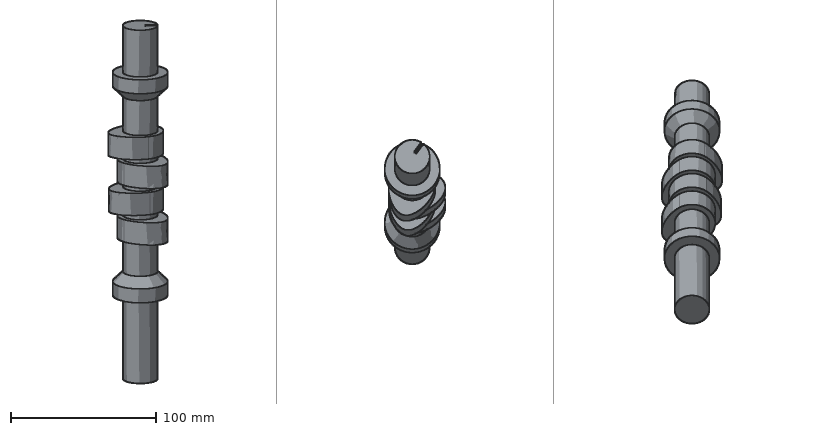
import cadquery as cq

shaft_length = 253.5
shaft_radius = 12.0

collar_radius = 19.0
collar_band = 10.0
collar_cone = 7.0
lower_collar_base = 60.0
collar_span = 160.0
upper_collar_top = lower_collar_base + collar_span

heel_radius = 16.0
nose_reach = 23.0
flank_tangent = 31.0
lobe_thickness = 16.0
paired_nose_angle = 25.0
lobes = [
    (101.5, paired_nose_angle),
    (122.0, -85.0),
    (142.0, paired_nose_angle),
    (162.0, -90.0),
]

slot_width = 2.0
slot_inner_radius = 3.5
slot_depth = 5.0
slot_angle = 70.0


def make_shaft():
    return cq.Workplane("XY").circle(shaft_radius).extrude(shaft_length)


def make_collar(outer_z, toward_lobes):
    """Collar with its flat face at outer_z; toward_lobes is +1 (up) or -1 (down)."""
    band_end = outer_z + toward_lobes * collar_band
    cone_end = band_end + toward_lobes * collar_cone
    return (
        cq.Workplane("XZ")
        .moveTo(0, outer_z)
        .lineTo(collar_radius, outer_z)
        .lineTo(collar_radius, band_end)
        .lineTo(shaft_radius, cone_end)
        .lineTo(0, cone_end)
        .close()
        .revolve(360, (0, 0, 0), (0, 1, 0))
    )


def make_lobe(base_z, nose_angle):
    """Cam lobe built with its nose along +X, then turned to nose_angle."""
    return (
        cq.Workplane("XY")
        .workplane(offset=base_z)
        .moveTo(0, heel_radius)
        .threePointArc((-heel_radius, 0), (0, -heel_radius))
        .spline(
            [(nose_reach, 0), (0, heel_radius)],
            tangents=[(flank_tangent, 0), (-flank_tangent, 0)],
            parameters=[0, 1, 2],
            scale=False,
            includeCurrent=True,
        )
        .close()
        .extrude(lobe_thickness)
        .rotate((0, 0, 0), (0, 0, 1), nose_angle)
    )


def make_slot():
    """Cutter for the radial timing slot."""
    slot_length = shaft_radius
    return (
        cq.Workplane("XY")
        .box(slot_length, slot_width, slot_depth, centered=(False, True, False))
        .translate((slot_inner_radius, 0, shaft_length - slot_depth))
        .rotate((0, 0, 0), (0, 0, 1), slot_angle)
    )


result = make_shaft()
result = result.union(make_collar(lower_collar_base, 1))
result = result.union(make_collar(upper_collar_top, -1))
for base_z, nose_angle in lobes:
    result = result.union(make_lobe(base_z, nose_angle))
result = result.cut(make_slot())